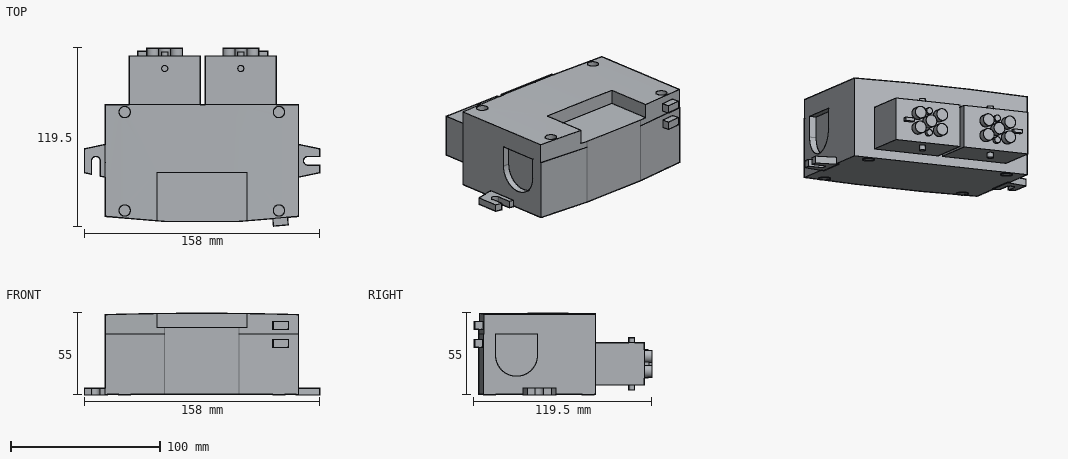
import cadquery as cq
import math


body_width = 129.9
side_depth = 75.2
middle_depth = 78.5
front_flat_width = 50.0
pad_height = 0.5
split_z = 41.0

lid_side_depth = 74.9
lid_edge_z = 54.0
lid_crown_z = 55.0
lid_hole_diameter = 7.6
lid_hole_depth = 4.5
window_width = 60.4
window_depth = 33.0
window_floor_z = 45.2

screw_spacing_x = 103.5
screw_rear_y = -5.0
screw_front_y = -71.1
pad_diameter = 8.0

entry_radius = 14.0
entry_y = -53.1
entry_center_z = 26.7
entry_depth = 4.9

foot_y = -37.8
foot_root_width = 22.1
foot_tip_width = 16.1
foot_top_z = 4.7
left_foot_length = 13.9
right_foot_length = 14.2
foot_slot_width = 5.7
foot_slot_x = 71.1

latch_x = 52.6
latch_width = 10.1
latch_reach = 5.0
latch_height = 5.4
latch_bottoms = (32.0, 44.1)

connector_pitch = 51.0
connector_pair_x = 0.6
connector_width = 47.9
connector_depth = 32.7
connector_bottom_z = 6.6
connector_height = 28.6
locking_pin_diameter = 4.1
locking_pin_reach = 3.3
locking_pin_setback = 8.5
contact_diameter = 8.0
contact_length = 5.2
contact_row_offset = 5.0
coding_diameter = 4.3
coding_length = 2.4
coding_row_offset = 7.5
tab_reach_x = 18.2
tab_width = 6.3
tab_thickness = 2.2
tab_length = 3.2

joint_overlap = 1.6

half_width = body_width / 2
half_flat = front_flat_width / 2
connector_mid_z = connector_bottom_z + connector_height / 2


def plan_outline(depth_at_side):
    """Housing outline: straight rear and sides, three-facet front."""
    return [
        (-half_width, 0),
        (-half_width, -depth_at_side),
        (-half_flat, -middle_depth),
        (half_flat, -middle_depth),
        (half_width, -depth_at_side),
        (half_width, 0),
    ]


def box(x_range, y_range, z_range):
    """Box between the given limits along each axis."""
    size = [high - low for low, high in (x_range, y_range, z_range)]
    corner = (x_range[0], y_range[0], z_range[0])
    return cq.Workplane("XY").box(*size, centered=False).translate(corner)


def upright_cylinder(diameter, x, y, bottom_z, top_z):
    plane = cq.Workplane("XY", origin=(x, y, bottom_z))
    return plane.circle(diameter / 2).extrude(top_z - bottom_z)


def rear_cylinder(diameter, x, z, length):
    """Cylinder standing out of a connector's rear face."""
    plane = cq.Workplane("XZ", origin=(x, connector_depth, z))
    return plane.circle(diameter / 2).extrude(-length)


def screw_positions():
    return [
        (side * screw_spacing_x / 2, y)
        for side in (-1, 1)
        for y in (screw_rear_y, screw_front_y)
    ]


def make_base():
    outline = cq.Workplane("XY", origin=(0, 0, pad_height)).polyline(plan_outline(side_depth)).close()
    base = outline.extrude(split_z - pad_height)
    for x, y in screw_positions():
        base = base.union(upright_cylinder(pad_diameter, x, y, 0, pad_height + joint_overlap))
    for side in (-1, 1):
        base = base.cut(cable_entry(side))
    return base


def cable_entry(side):
    """U-shaped recess reaching from the lid joint down to a round bottom."""
    outline = (
        cq.Workplane("YZ", origin=(side * half_width, 0, 0))
        .moveTo(entry_y - entry_radius, split_z)
        .lineTo(entry_y - entry_radius, entry_center_z)
        .threePointArc(
            (entry_y, entry_center_z - entry_radius),
            (entry_y + entry_radius, entry_center_z),
        )
        .lineTo(entry_y + entry_radius, split_z)
        .close()
    )
    return outline.extrude(-side * entry_depth)


def make_lid():
    outline = cq.Workplane("XY", origin=(0, 0, split_z)).polyline(plan_outline(lid_side_depth)).close()
    blank = outline.extrude(lid_crown_z - split_z)
    crowned = (
        cq.Workplane("XZ")
        .moveTo(-half_width, split_z)
        .lineTo(-half_width, lid_edge_z)
        .threePointArc((0, lid_crown_z), (half_width, lid_edge_z))
        .lineTo(half_width, split_z)
        .close()
        .extrude(middle_depth)
    )
    lid = blank.intersect(crowned)
    for x, y in screw_positions():
        lid = lid.cut(upright_cylinder(lid_hole_diameter, x, y, lid_edge_z - lid_hole_depth, lid_crown_z))
    window = box(
        (-window_width / 2, window_width / 2),
        (-middle_depth, window_depth - middle_depth),
        (window_floor_z, lid_crown_z),
    )
    return lid.cut(window)


def make_foot(side, length):
    """Tapered foot on the left (-1) or right (+1) side, without its slot."""
    tip_x = half_width + length
    taper = (foot_root_width - foot_tip_width) / 2
    points = [
        (half_width - joint_overlap, foot_root_width / 2),
        (half_width, foot_root_width / 2),
        (tip_x, foot_root_width / 2 - taper),
        (tip_x, taper - foot_root_width / 2),
        (half_width, -foot_root_width / 2),
        (half_width - joint_overlap, -foot_root_width / 2),
    ]
    outline = [(side * x, foot_y + y) for x, y in points]
    return cq.Workplane("XY").polyline(outline).close().extrude(foot_top_z)


def foot_slot(side, direction):
    """Open slot with a round inner end, running out of the foot along direction (degrees)."""
    run = foot_root_width
    slot = cq.Workplane("XY").rect(run, foot_slot_width).extrude(foot_top_z)
    slot = slot.translate((run / 2, 0, 0))
    slot = slot.union(upright_cylinder(foot_slot_width, 0, 0, 0, foot_top_z))
    slot = slot.rotate((0, 0, 0), (0, 0, 1), direction)
    return slot.translate((side * foot_slot_x, foot_y, 0))


def make_feet():
    left = make_foot(-1, left_foot_length).cut(foot_slot(-1, -90))
    right = make_foot(1, right_foot_length).cut(foot_slot(1, 0))
    return left.union(right)


def make_latches():
    """Two blocks standing square on the slanted front face."""
    slope = (middle_depth - side_depth) / (half_width - half_flat)
    face_y = -middle_depth + slope * (latch_x - half_flat)
    latches = cq.Workplane("XY")
    for bottom_z in latch_bottoms:
        block = box(
            (-latch_width / 2, latch_width / 2),
            (-latch_reach, joint_overlap),
            (bottom_z, bottom_z + latch_height),
        )
        block = block.rotate((0, 0, 0), (0, 0, 1), math.degrees(math.atan(slope)))
        latches = latches.union(block.translate((latch_x, face_y, 0)))
    return latches


def make_connector(side):
    """Connector housing with locking pins, contacts and a tab on its outer side."""
    x = connector_pair_x + side * connector_pitch / 2
    top_z = connector_bottom_z + connector_height
    connector = box(
        (x - connector_width / 2, x + connector_width / 2),
        (-joint_overlap, connector_depth),
        (connector_bottom_z, top_z),
    )
    connector = connector.union(
        upright_cylinder(
            locking_pin_diameter,
            x,
            connector_depth - locking_pin_setback,
            connector_bottom_z - locking_pin_reach,
            top_z + locking_pin_reach,
        )
    )
    contacts = [(0, 0)]
    for column in (-1, 1):
        for row in (-1, 1):
            contacts.append((column * contact_diameter, row * contact_row_offset))
    for dx, dz in contacts:
        contact = rear_cylinder(contact_diameter, x + dx, connector_mid_z + dz, contact_length)
        connector = connector.union(contact)
    for row in (-1, 1):
        coding_z = connector_mid_z + row * coding_row_offset
        connector = connector.union(rear_cylinder(coding_diameter, x, coding_z, coding_length))
    tab_x = x + side * (tab_reach_x - tab_width / 2)
    tab = box(
        (tab_x - tab_width / 2, tab_x + tab_width / 2),
        (connector_depth, connector_depth + tab_length),
        (connector_mid_z - tab_thickness / 2, connector_mid_z + tab_thickness / 2),
    )
    return connector.union(tab)


result = make_base().union(make_lid()).union(make_feet()).union(make_latches())
for connector_side in (-1, 1):
    result = result.union(make_connector(connector_side))